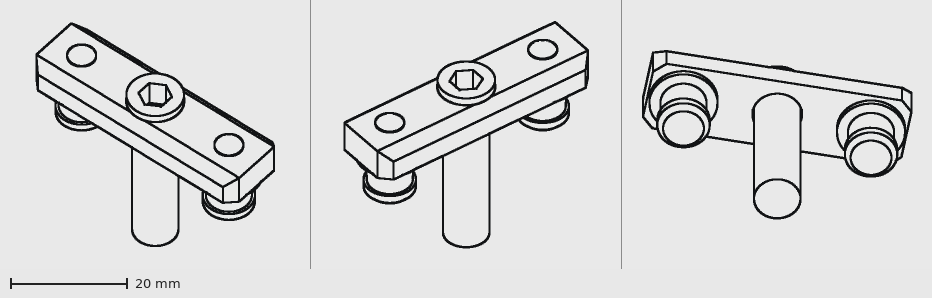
import cadquery as cq
import math

bar_length = 45.0
bar_width = 13.4
bar_height = 6.0
bar_chamfer = 2.0

pin_pitch = 32.65
pin_top_diameter = 5.0
pin_top_projection = 0.2
flange_diameter = 11.7
flange_bottom = -1.0
neck_diameter = 7.9
lip_diameter = 9.0
lip_top = -6.5
lip_bottom = -8.0
pin_tip_diameter = 7.0
pin_tip = -9.0

head_diameter = 9.9
head_projection = 1.5
countersink_diameter = 10.0
shank_diameter = 8.0
shank_hole_diameter = 8.5
screw_height = 34.0
hex_across_flats = 5.0
hex_depth = 5.0

screw_top = bar_height + head_projection
screw_bottom = screw_top - screw_height


def cylinder(diameter, bottom, top):
    """Vertical cylinder on the Z axis."""
    return cq.Workplane("XY", origin=(0, 0, bottom)).circle(diameter / 2).extrude(top - bottom)


def revolve_profile(profile):
    """Solid of revolution about the Z axis from (radius, height) points."""
    return cq.Workplane("XZ").polyline(profile).close().revolve(360, (0, 0, 0), (0, 1, 0))


def seat_cone(large_diameter, small_diameter):
    """45-degree cone from a large diameter at the bar's top face down to a smaller diameter."""
    depth = (large_diameter - small_diameter) / 2
    profile = [
        (0, bar_height),
        (large_diameter / 2, bar_height),
        (small_diameter / 2, bar_height - depth),
        (0, bar_height - depth),
    ]
    return revolve_profile(profile)


def make_pin():
    """Stepped pin below the bar, with a stem that passes through to the top face."""
    stem_top = bar_height + pin_top_projection
    profile = [
        (0, stem_top),
        (pin_top_diameter / 2, stem_top),
        (pin_top_diameter / 2, 0),
        (flange_diameter / 2, 0),
        (flange_diameter / 2, flange_bottom),
        (neck_diameter / 2, flange_bottom),
        (neck_diameter / 2, lip_top),
        (lip_diameter / 2, lip_top),
        (lip_diameter / 2, lip_bottom),
        (pin_tip_diameter / 2, pin_tip),
        (0, pin_tip),
    ]
    return revolve_profile(profile)


def make_bar():
    """Chamfered bar with two pins and a countersunk clearance hole for the screw."""
    bar = cq.Workplane("XY").box(bar_length, bar_width, bar_height, centered=(True, True, False))
    bar = bar.edges("|Z").chamfer(bar_chamfer)

    half_width = bar_width / 2
    section = [
        (-half_width, 0),
        (half_width, 0),
        (half_width, bar_height - bar_chamfer),
        (half_width - bar_chamfer, bar_height),
        (bar_chamfer - half_width, bar_height),
        (-half_width, bar_height - bar_chamfer),
    ]
    envelope = cq.Workplane("YZ").polyline(section).close().extrude(bar_length / 2, both=True)
    bar = bar.intersect(envelope)

    bar = bar.cut(cylinder(shank_hole_diameter, 0, bar_height))
    bar = bar.cut(seat_cone(countersink_diameter, shank_hole_diameter))

    for side in (-1, 1):
        bar = bar.union(make_pin().translate((side * pin_pitch / 2, 0, 0)))
    return bar


def make_screw():
    """Socket-head screw whose head has a short cone underneath that sits in the countersink."""
    head = cylinder(head_diameter, bar_height, screw_top)
    cone = seat_cone(head_diameter, shank_diameter)
    shank = cylinder(shank_diameter, screw_bottom, bar_height)

    across_corners = hex_across_flats / math.cos(math.pi / 6)
    socket = (
        cq.Workplane("XY", origin=(0, 0, screw_top))
        .transformed(rotate=(0, 0, 90))
        .polygon(6, across_corners)
        .extrude(-hex_depth)
    )
    return head.union(cone).union(shank).cut(socket)


bar_with_pins = make_bar()
screw = make_screw()

result = cq.Compound.makeCompound([bar_with_pins.solids().val(), screw.solids().val()])